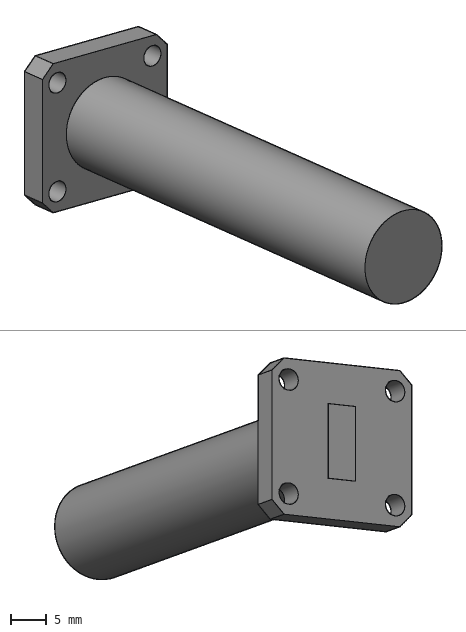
import cadquery as cq

total_length = 71.1
flange_width = 22.3
flange_thickness = 4.05
corner_chamfer = 1.9
tube_diameter = 13.8

hole_diameter = 3.05
hole_spacing_y = 17.0
hole_spacing_z = 16.3

window_width = 4.35
window_height = 10.7
window_depth = 0.1


def make_flange():
    """Square flange with chamfered corners and four through holes."""
    plate = (
        cq.Workplane("YZ")
        .rect(flange_width, flange_width)
        .extrude(flange_thickness)
        .edges("|X")
        .chamfer(corner_chamfer)
    )
    holes = (
        cq.Workplane("YZ")
        .rect(hole_spacing_y, hole_spacing_z, forConstruction=True)
        .vertices()
        .circle(hole_diameter / 2)
        .extrude(flange_thickness)
    )
    return plate.cut(holes)


def make_tube():
    """Solid round body from the back of the flange to the far end."""
    return (
        cq.Workplane("YZ", origin=(flange_thickness, 0, 0))
        .circle(tube_diameter / 2)
        .extrude(total_length - flange_thickness)
    )


def make_window():
    """Shallow rectangular cutter at the centre of the flange face."""
    return cq.Workplane("YZ").rect(window_width, window_height).extrude(window_depth)


result = make_flange().union(make_tube()).cut(make_window())